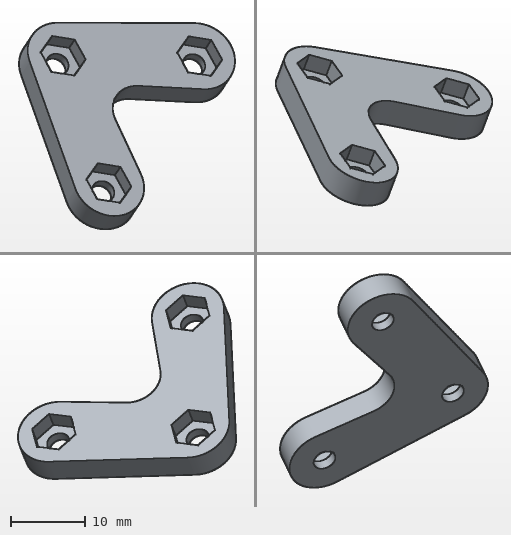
import cadquery as cq
import math

TILT = 20.0
THICKNESS = 4.0
END_RADIUS = 5.0
ARM_REACH = 15.0
ARM_SPREAD = 12.5
CROOK_RADIUS = 4.0
CROOK_X = 13.0
CROOK_Y = -0.25
HOLE_DIAMETER = 3.1
NUT_ACROSS_FLATS = 5.5
NUT_DEPTH = 2.5
NUT_SIDES = 6

NUT_TURN = 180.0 / NUT_SIDES
NUT_ACROSS_CORNERS = NUT_ACROSS_FLATS / math.cos(math.radians(NUT_TURN))
ELBOW = (0.0, 0.0)
UPPER_END = (ARM_REACH, ARM_SPREAD)
LOWER_END = (ARM_REACH, -ARM_SPREAD)
CROOK = (CROOK_X, CROOK_Y)
SCREW_POINTS = [ELBOW, UPPER_END, LOWER_END]


def on_circle(center, radius, angle):
    """Point on a circle at an angle in radians from +X."""
    return (center[0] + radius * math.cos(angle), center[1] + radius * math.sin(angle))


def crook_tangent_angle(end, side):
    """Angle on the crook circle where the line tangent to it and to the end rounding starts.

    The line crosses between the two circles, so it leaves the end rounding at the opposite angle.
    """
    dx = end[0] - CROOK[0]
    dy = end[1] - CROOK[1]
    swing = math.acos((END_RADIUS + CROOK_RADIUS) / math.hypot(dx, dy))
    return math.atan2(dy, dx) + side * swing


def plate():
    """Boomerang outline, walked clockwise from the elbow, extruded to the thickness."""
    outer_angle = math.atan2(ARM_SPREAD, ARM_REACH) + math.pi / 2
    upper_angle = crook_tangent_angle(UPPER_END, 1)
    lower_angle = crook_tangent_angle(LOWER_END, -1)
    return (
        cq.Workplane("XY")
        .moveTo(*on_circle(ELBOW, END_RADIUS, outer_angle))
        .lineTo(*on_circle(UPPER_END, END_RADIUS, outer_angle))
        .threePointArc(
            on_circle(UPPER_END, END_RADIUS, 0),
            on_circle(UPPER_END, END_RADIUS, upper_angle - math.pi),
        )
        .lineTo(*on_circle(CROOK, CROOK_RADIUS, upper_angle))
        .threePointArc(
            on_circle(CROOK, CROOK_RADIUS, math.pi),
            on_circle(CROOK, CROOK_RADIUS, lower_angle),
        )
        .lineTo(*on_circle(LOWER_END, END_RADIUS, lower_angle + math.pi))
        .threePointArc(
            on_circle(LOWER_END, END_RADIUS, 0),
            on_circle(LOWER_END, END_RADIUS, -outer_angle),
        )
        .lineTo(*on_circle(ELBOW, END_RADIUS, -outer_angle))
        .threePointArc(
            on_circle(ELBOW, END_RADIUS, math.pi),
            on_circle(ELBOW, END_RADIUS, outer_angle),
        )
        .close()
        .extrude(THICKNESS)
    )


def screw_holes():
    """Through holes at the elbow and at both arm ends."""
    return cq.Workplane("XY").pushPoints(SCREW_POINTS).circle(HOLE_DIAMETER / 2).extrude(THICKNESS)


def nut_pocket(x, y):
    """Hexagonal pocket in the upper face, with two flats square to X."""
    return (
        cq.Workplane("XY")
        .transformed(offset=(x, y, THICKNESS - NUT_DEPTH), rotate=(0, 0, NUT_TURN))
        .polygon(NUT_SIDES, NUT_ACROSS_CORNERS)
        .extrude(NUT_DEPTH)
    )


flat_part = plate().cut(screw_holes())
for screw_x, screw_y in SCREW_POINTS:
    flat_part = flat_part.cut(nut_pocket(screw_x, screw_y))

result = flat_part.rotate((0, 0, 0), (0, 1, 0), TILT)